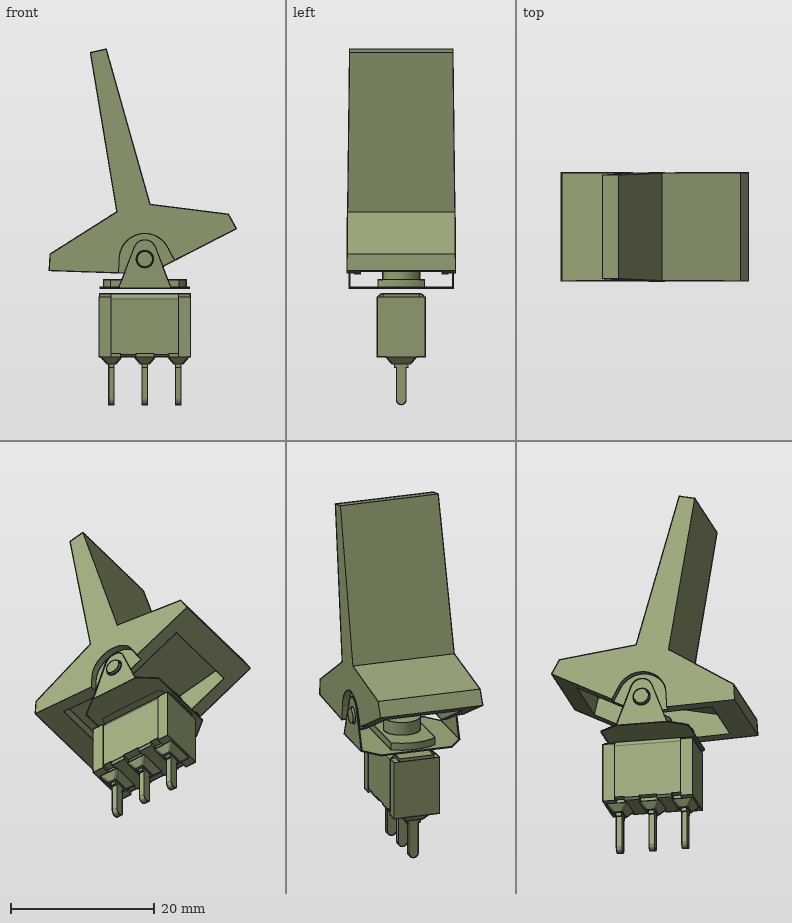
import cadquery as cq
import math


tilt = 12.6
rocker_depth = 15.2
rocker_top_depth = 14.45
keel_z = -2.15
wing_reach = 13.4
wing_low_z = 1.35
wing_tip_x = 12.75
wing_tip_z = 3.55
blade_root_x = 2.4
blade_root_z = 7.3
blade_top_x = 1.15
blade_top_z = 29.75

recess_radius = 3.55
recess_flare = 15.5
recess_depth = 1.05
cheek_thickness = 0.9
cavity_length = 19.85
cavity_ceiling = 3.0
pin_diameter = 2.15

sheet = 0.15
bracket_bottom = -4.05
bracket_depth = 14.55
plate_length = 12.5
plate_end_width = 10.4
ear_foot_width = 7.35
ear_top = 2.7
ear_tip_radius = 1.6
pivot_hole_diameter = 2.45
collar_diameter = 11.55
collar_width = 6.5
collar_top = -2.9
bushing_diameter = 5.2
bushing_top = -1.0

case_top = -4.8
case_bottom = -13.65
case_length = 12.8
case_width = 6.7
middle_length = 9.45
middle_width = 6.55
top_round = 0.75
tab_width = middle_width - 2 * top_round
tab_setback = 0.05
shoulder_drop = 0.45
skirt_height = 0.35
skirt_inset = 0.3
notch_length = 2.55
notch_height = 0.5
notch_back_width = 4.15

terminal_pitch = 4.65
terminal_thickness = 0.8
terminal_width = 1.35
neck_width = 1.95
neck_bottom = -15.15
seal_length = 3.0
seal_width = 4.3
seal_height = 1.0
seal_inset = 0.85
seal_corner_radius = 0.275

overall_height = 49.6
lean = math.radians(tilt)
blade_peak = blade_top_x * math.sin(lean) + blade_top_z * math.cos(lean)
terminal_bottom = blade_peak - overall_height


def box_between(length, width, z_low, z_high):
    """Box centred on the Z axis between two heights."""
    return (
        cq.Workplane("XY", origin=(0, 0, z_low))
        .rect(length, width)
        .extrude(z_high - z_low)
    )


def slab_along_y(outline, y_low, y_high):
    """Extrude a wire drawn on the XZ plane between two Y positions."""
    return outline.extrude(y_high - y_low).translate((0, y_high, 0))


def rocker_blank():
    """Three-armed outline, with side faces that close in towards the top of the blade."""
    right_side = [
        (wing_reach, wing_low_z),
        (wing_tip_x, wing_tip_z),
        (blade_root_x, blade_root_z),
        (blade_top_x, blade_top_z),
    ]
    left_side = [(-x, z) for x, z in reversed(right_side)]
    outline = cq.Workplane("XZ").polyline([(0, keel_z)] + right_side + left_side).close()
    prism = slab_along_y(outline, -rocker_depth / 2, rocker_depth / 2)
    draft_envelope = (
        cq.Workplane("YZ")
        .polyline([
            (-rocker_depth / 2, keel_z),
            (rocker_depth / 2, keel_z),
            (rocker_top_depth / 2, blade_top_z),
            (-rocker_top_depth / 2, blade_top_z),
        ])
        .close()
        .extrude(wing_reach, both=True)
    )
    return prism.intersect(draft_envelope)


def recess_outline():
    """Arch around the pivot whose straight sides flare downwards."""
    flare = math.radians(recess_flare)
    tangent_x = recess_radius * math.cos(flare)
    tangent_z = recess_radius * math.sin(flare)
    foot_x = tangent_x + (tangent_z - keel_z) * math.tan(flare)
    return (
        cq.Workplane("XZ")
        .moveTo(-foot_x, keel_z)
        .lineTo(-tangent_x, tangent_z)
        .threePointArc((0, recess_radius), (tangent_x, tangent_z))
        .lineTo(foot_x, keel_z)
        .close()
    )


def make_rocker():
    outer_y = rocker_depth / 2
    recess_y = outer_y - recess_depth
    cavity_y = recess_y - cheek_thickness
    body = rocker_blank()
    body = body.cut(slab_along_y(recess_outline(), -outer_y, -recess_y))
    body = body.cut(slab_along_y(recess_outline(), recess_y, outer_y))
    body = body.cut(box_between(cavity_length, 2 * cavity_y, keel_z, cavity_ceiling))
    for y_low, y_high in [(-outer_y, -cavity_y), (cavity_y, outer_y)]:
        pin = slab_along_y(cq.Workplane("XZ").circle(pin_diameter / 2), y_low, y_high)
        body = body.union(pin)
    return body.rotate((0, 0, 0), (0, 1, 0), -tilt)


def base_plate():
    """Rectangle with its corners cut from the ear feet to the plate ends."""
    quarter = [
        (plate_length / 2, plate_end_width / 2),
        (ear_foot_width / 2, bracket_depth / 2),
    ]
    upper = quarter + [(-x, y) for x, y in reversed(quarter)]
    lower = [(-x, -y) for x, y in upper]
    return (
        cq.Workplane("XY", origin=(0, 0, bracket_bottom))
        .polyline(upper + lower)
        .close()
        .extrude(sheet)
    )


def ear_outline():
    """Tapering ear whose straight sides run tangent into its round tip."""
    tip_z = ear_top - ear_tip_radius
    foot_x = ear_foot_width / 2
    rise = tip_z - bracket_bottom
    reach = math.hypot(foot_x, rise)
    angle = math.acos(ear_tip_radius / reach) - math.atan2(rise, foot_x)
    tangent_x = ear_tip_radius * math.cos(angle)
    tangent_z = tip_z + ear_tip_radius * math.sin(angle)
    return (
        cq.Workplane("XZ")
        .moveTo(-foot_x, bracket_bottom)
        .lineTo(-tangent_x, tangent_z)
        .threePointArc((0, ear_top), (tangent_x, tangent_z))
        .lineTo(foot_x, bracket_bottom)
        .close()
    )


def collar_with_bushing():
    """Round collar with two flats, carrying the bushing."""
    plate_top = bracket_bottom + sheet
    collar = (
        cq.Workplane("XY", origin=(0, 0, plate_top))
        .circle(collar_diameter / 2)
        .extrude(collar_top - plate_top)
        .intersect(box_between(collar_diameter, collar_width, plate_top, collar_top))
    )
    bushing = (
        cq.Workplane("XY", origin=(0, 0, collar_top))
        .circle(bushing_diameter / 2)
        .extrude(bushing_top - collar_top)
    )
    return collar.union(bushing)


def make_bracket():
    outer_y = bracket_depth / 2
    body = base_plate()
    for y_low in (-outer_y, outer_y - sheet):
        body = body.union(slab_along_y(ear_outline(), y_low, y_low + sheet))
    hole = slab_along_y(cq.Workplane("XZ").circle(pivot_hole_diameter / 2), -outer_y, outer_y)
    return body.cut(hole).union(collar_with_bushing())


def terminal_positions():
    return [step * terminal_pitch for step in (-1, 0, 1)]


def middle_section():
    """Middle of the case: rounded along the top, bevelled along the bottom."""
    half = middle_width / 2
    corner = top_round * math.sqrt(0.5)
    profile = (
        cq.Workplane("YZ")
        .moveTo(-half + skirt_inset, case_bottom)
        .lineTo(half - skirt_inset, case_bottom)
        .lineTo(half, case_bottom + skirt_height)
        .lineTo(half, case_top - top_round)
        .threePointArc(
            (half - top_round + corner, case_top - top_round + corner),
            (half - top_round, case_top),
        )
        .lineTo(-half + top_round, case_top)
        .threePointArc(
            (-half + top_round - corner, case_top - top_round + corner),
            (-half, case_top - top_round),
        )
        .lineTo(-half, case_bottom + skirt_height)
        .close()
    )
    section = profile.extrude(middle_length / 2, both=True)
    for x in terminal_positions():
        block = box_between(notch_length, middle_width, case_bottom, case_bottom + notch_height)
        core = box_between(notch_length, notch_back_width, case_bottom, case_bottom + notch_height)
        section = section.cut(block.cut(core).translate((x, 0, 0)))
    return section


def end_post():
    """End post at +X: full width up to the shoulders, with a narrower tab above them."""
    post_length = (case_length - middle_length) / 2
    shoulder = case_top - shoulder_drop
    post = box_between(post_length, case_width, case_bottom, shoulder)
    tab = box_between(post_length - tab_setback, tab_width, shoulder, case_top)
    tab = tab.translate((-tab_setback / 2, 0, 0))
    post_x = (middle_length + post_length) / 2
    return post.union(tab).translate((post_x, 0, 0))


def terminal():
    """Flat pin with a round end, a wider neck and a tapered seal at its root."""
    seal_bottom = case_bottom - seal_height
    seal = (
        cq.Workplane("XY", origin=(0, 0, case_bottom))
        .rect(seal_length, seal_width)
        .workplane(offset=-seal_height)
        .rect(seal_length - 2 * seal_inset, seal_width - 2 * seal_inset)
        .loft()
        .edges("not #Z")
        .fillet(seal_corner_radius)
    )
    neck = box_between(terminal_thickness, neck_width, neck_bottom, seal_bottom)
    half = terminal_width / 2
    blade = (
        cq.Workplane("YZ")
        .moveTo(-half, neck_bottom)
        .lineTo(-half, terminal_bottom + half)
        .threePointArc((0, terminal_bottom), (half, terminal_bottom + half))
        .lineTo(half, neck_bottom)
        .close()
        .extrude(terminal_thickness / 2, both=True)
    )
    return seal.union(neck).union(blade)


def make_switch():
    body = middle_section().union(end_post()).union(end_post().mirror("YZ"))
    for x in terminal_positions():
        body = body.union(terminal().translate((x, 0, 0)))
    return body


rocker = make_rocker()
bracket = make_bracket()
switch = make_switch()
result = cq.Compound.makeCompound([rocker.val(), bracket.val(), switch.val()])